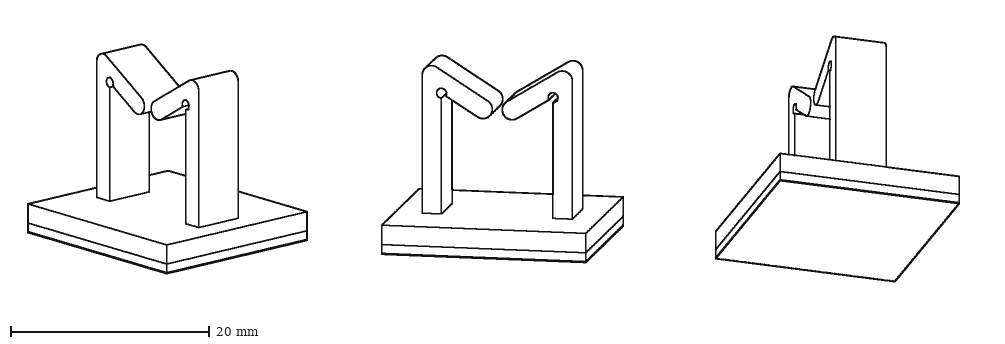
import cadquery as cq
import math

base_length = 21.0
base_width = 19.0
liner_thickness = 0.1
pad_thickness = 0.9
plate_thickness = 2.0
total_height = 18.2

arm_thickness = 2.0
arm_width = 5.35
arm_outer_x = 7.73
tip_gap = 1.0
tip_center_z = 13.96
relief_radius = 0.5

pad_bottom = liner_thickness
plate_bottom = pad_bottom + pad_thickness
plate_top = plate_bottom + plate_thickness
round_radius = arm_thickness / 2
bend_x = arm_outer_x - round_radius
bend_z = total_height - round_radius
tip_x = tip_gap / 2 + round_radius
slope = math.atan2(bend_z - tip_center_z, bend_x - tip_x)
inner_x = arm_outer_x - arm_thickness
inner_corner_z = bend_z - (bend_x - inner_x) * math.tan(slope) - round_radius / math.cos(slope)


def layer(thickness, bottom):
    """Rectangular layer with the base outline."""
    return (
        cq.Workplane("XY", origin=(0, 0, bottom))
        .rect(base_length, base_width)
        .extrude(thickness)
    )


def on_round(center_x, center_z, angle):
    """Point on a round of the hook, at an angle in radians from +X towards +Z."""
    return (
        center_x + round_radius * math.cos(angle),
        center_z + round_radius * math.sin(angle),
    )


def make_arm():
    """Right-hand arm: upright post, rounded bend and hook sloping down to the middle."""
    upper_normal = math.pi / 2 + slope
    bend_middle = upper_normal / 2
    profile = (
        cq.Workplane("XZ")
        .moveTo(inner_x, plate_top)
        .lineTo(arm_outer_x, plate_top)
        .lineTo(arm_outer_x, bend_z)
        .threePointArc(on_round(bend_x, bend_z, bend_middle), on_round(bend_x, bend_z, upper_normal))
        .lineTo(*on_round(tip_x, tip_center_z, upper_normal))
        .threePointArc(
            on_round(tip_x, tip_center_z, math.pi + slope),
            on_round(tip_x, tip_center_z, upper_normal + math.pi),
        )
        .lineTo(inner_x, inner_corner_z)
        .close()
    )
    arm = profile.extrude(arm_width / 2, both=True)
    relief = (
        cq.Workplane("XZ")
        .center(inner_x, inner_corner_z)
        .circle(relief_radius)
        .extrude(arm_width / 2, both=True)
    )
    return arm.cut(relief)


def make_clip():
    """Base plate carrying two mirrored arms, as one solid."""
    arm = make_arm()
    return layer(plate_thickness, plate_bottom).union(arm).union(arm.mirror("YZ"))


clip = make_clip().solids()
adhesive_pad = layer(pad_thickness, pad_bottom)
liner = layer(liner_thickness, 0)

result = cq.Compound.makeCompound([clip.val(), adhesive_pad.val(), liner.val()])